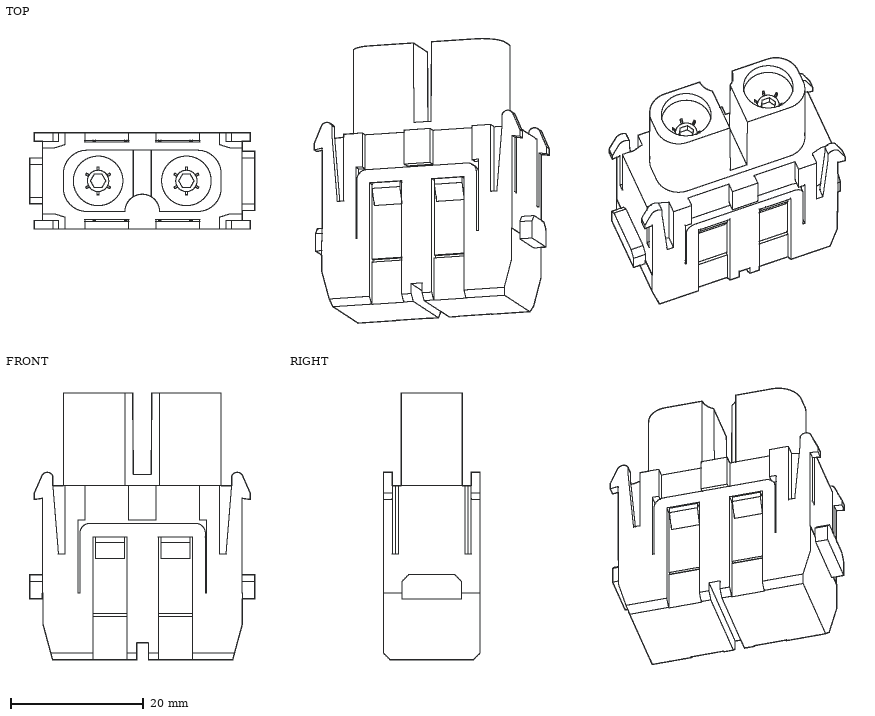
import cadquery as cq
import math

body_length = 30.2
body_width = 14.6
total_height = 40.35
body_height = 26.35
half_length = body_length / 2
half_width = body_width / 2
seam_height = 10.1
lower_shift = 0.06

taper_height = 5.35
bottom_length = 27.28
bottom_chamfer = 1.0
notch_width = 1.75
notch_height = 2.55

recess_length = 19.45
recess_depth = 1.45
recess_step_height = 21.1
upper_recess_length = 17.4
tab_width = 4.1
panel_length = 18.95
panel_height = 20.6
panel_radius = 1.45
panel_thickness = 1.15

window_pitch = 9.9
window_width = 5.12
window_top = 18.55
window_depth = 1.35
window_lower_depth = panel_thickness
window_gap_bottom = 6.55
window_gap_height = 0.5
window_gap_depth = 1.85
wedge_width = 4.4
wedge_bottom = 15.3
wedge_shoulder = 17.7
wedge_face_depth = 0.2
tongue_top = 19.35

latch_thickness = 1.35
pocket_length = 3.43
pocket_floor = 16.0
pocket_depth = 2.3
pocket_inner_depth = 1.8
pocket_flat_length = 1.85
arm_root_width = 2.42
arm_neck_width = 1.57
hook_reach = 1.25
hook_height = 24.2
hook_rise = 0.2
hook_lip = 1.0
arm_shoulder = 27.8
arm_top = 28.35
arm_tip_outer = 0.12
arm_tip_inner = 1.57

peg_reach = 1.955
peg_bottom = 9.2
peg_top = 12.87
peg_chamfer = 1.0
left_peg_width = 7.0
right_peg_width = 9.0

towers_length = 23.9
towers_width = 9.3
tower_radius = 3.6
slot_top_width = 2.85
slot_bottom_width = 2.65
web_top = 28.05
key_radius = 2.62

bore_pitch = 13.35
bore_diameter = 7.5
bore_depth = 1.95
cone_depth = 2.5
cone_end_diameter = 4.2
contact_diameter = 3.23
contact_bevel_depth = 0.6
contact_slit_width = 0.3
contact_slits = 6
hex_sides = 6
hex_across_flats = 2.0
hex_depth = 1.2


def box(x_min, x_max, y_min, y_max, z_min, z_max):
    size = (x_max - x_min, y_max - y_min, z_max - z_min)
    return cq.Workplane("XY").box(*size, centered=False).translate((x_min, y_min, z_min))


def centred_box(width, y_min, y_max, z_min, z_max, x=0.0):
    return box(x - width / 2, x + width / 2, y_min, y_max, z_min, z_max)


def both_sides(front):
    """Combine a front-side shape with its mirror image on the back side."""
    return front.union(front.mirror("XZ"))


def both_ends(left):
    """Combine a left-end shape with its mirror image on the right end."""
    return left.union(left.mirror("YZ"))


def lower_housing():
    outline = [
        (-half_length, seam_height),
        (-half_length, taper_height),
        (-bottom_length / 2, 0),
        (bottom_length / 2, 0),
        (half_length, taper_height),
        (half_length, seam_height),
    ]
    housing = cq.Workplane("XZ").polyline(outline).close().extrude(half_width, both=True)
    housing = housing.faces("<Z").edges("|X").chamfer(bottom_chamfer)
    housing = housing.cut(centred_box(notch_width, -half_width, half_width, 0, notch_height))
    return housing.translate((lower_shift, 0, 0))


def upper_housing():
    housing = centred_box(body_length, -half_width, half_width, seam_height, body_height)
    floor = recess_depth - half_width
    recess = centred_box(recess_length, -half_width, floor, seam_height, recess_step_height)
    upper = centred_box(upper_recess_length, -half_width, floor, recess_step_height, body_height)
    tab = centred_box(tab_width, -half_width, floor, recess_step_height, body_height)
    return housing.cut(both_sides(recess.union(upper).cut(tab)))


def front_panel():
    back = panel_thickness - half_width
    panel = centred_box(panel_length, -half_width, back, seam_height, panel_height)
    panel = panel.edges("|Y and >Z").fillet(panel_radius)
    backing = centred_box(panel_length, back, recess_depth - half_width, seam_height, window_top)
    return panel.union(backing).translate((lower_shift, 0, 0))


def front_window(x):
    gap_top = window_gap_bottom + window_gap_height
    upper_floor = window_depth - half_width
    lower_floor = window_lower_depth - half_width
    gap_floor = window_gap_depth - half_width
    window = centred_box(window_width, -half_width, upper_floor, gap_top, window_top, x)
    window = window.union(centred_box(window_width, -half_width, lower_floor, 0, window_gap_bottom, x))
    return window.union(
        centred_box(window_width, -half_width, gap_floor, window_gap_bottom, gap_top, x)
    )


def front_snap_wedge(x):
    floor = window_depth - half_width
    back = recess_depth - half_width
    face = wedge_face_depth - half_width
    profile = [
        (floor, wedge_bottom),
        (face, wedge_shoulder),
        (face, window_top),
        (panel_thickness - half_width, window_top),
        (panel_thickness - half_width, tongue_top),
        (back, tongue_top),
        (back, wedge_bottom),
    ]
    wedge = cq.Workplane("YZ").polyline(profile).close().extrude(wedge_width / 2, both=True)
    return wedge.translate((x, 0, 0))


def corner_pocket():
    """Clearance around the front-left latch arm."""
    inner_x = pocket_length - half_length
    outline = [
        (-half_length, -half_width),
        (inner_x, -half_width),
        (inner_x, pocket_inner_depth - half_width),
        (pocket_flat_length - half_length, pocket_depth - half_width),
        (-half_length, pocket_depth - half_width),
    ]
    pocket = cq.Workplane("XY").workplane(offset=pocket_floor).polyline(outline).close()
    return pocket.extrude(body_height - pocket_floor)


def latch_arm():
    """Springy front-left arm with an outward hook and a rounded tip."""
    outer = -half_length
    tip_outer = (outer - arm_tip_outer, arm_shoulder)
    tip_inner = (outer + arm_tip_inner, arm_shoulder)
    tip_middle = ((tip_outer[0] + tip_inner[0]) / 2, arm_top)
    arm = (
        cq.Workplane("XZ", origin=(0, latch_thickness - half_width, 0))
        .moveTo(outer, pocket_floor)
        .lineTo(outer, hook_height + hook_rise)
        .lineTo(outer - hook_reach, hook_height)
        .lineTo(outer - hook_reach, hook_height + hook_lip)
        .lineTo(*tip_outer)
        .threePointArc(tip_middle, tip_inner)
        .lineTo(outer + arm_neck_width, body_height)
        .lineTo(outer + arm_root_width, pocket_floor)
        .close()
    )
    return arm.extrude(latch_thickness)


def end_peg(width):
    peg = centred_box(peg_reach, -width / 2, width / 2, peg_bottom, peg_top)
    return peg.edges("|X and >Z").chamfer(peg_chamfer)


def towers():
    block = centred_box(towers_length, -towers_width / 2, towers_width / 2, body_height, total_height)
    block = block.edges("|Z").fillet(tower_radius)
    slot_profile = [
        (-slot_bottom_width / 2, web_top),
        (slot_bottom_width / 2, web_top),
        (slot_top_width / 2, total_height),
        (-slot_top_width / 2, total_height),
    ]
    slot = cq.Workplane("XZ").polyline(slot_profile).close().extrude(towers_width / 2, both=True)
    keyway = (
        cq.Workplane("XY", origin=(0, -towers_width / 2, body_height))
        .circle(key_radius)
        .extrude(total_height - body_height)
    )
    return block.cut(slot).cut(keyway)


def contact_bore(x):
    """Stepped conical bore ending in a slit contact with a hexagon socket."""
    cone_top = total_height - bore_depth
    cone_bottom = cone_top - cone_depth
    contact_face = cone_bottom - contact_bevel_depth
    profile = [
        (0, total_height),
        (bore_diameter / 2, total_height),
        (bore_diameter / 2, cone_top),
        (cone_end_diameter / 2, cone_bottom),
        (contact_diameter / 2, contact_face),
        (0, contact_face),
    ]
    bore = cq.Workplane("XZ").polyline(profile).close().revolve(360, (0, 0), (0, 1))
    hex_corners = hex_across_flats / math.cos(math.pi / hex_sides)
    socket = cq.Workplane("XY").polygon(hex_sides, hex_corners).extrude(hex_depth)
    bore = bore.union(socket.translate((0, 0, contact_face - hex_depth)))
    slit = box(
        contact_diameter / 2,
        cone_end_diameter / 2,
        -contact_slit_width / 2,
        contact_slit_width / 2,
        contact_face,
        cone_bottom,
    )
    for index in range(contact_slits):
        angle = 360 / contact_slits * (index + 0.5)
        bore = bore.union(slit.rotate((0, 0, 0), (0, 0, 1), angle))
    return bore.translate((x, 0, 0))


result = lower_housing().union(upper_housing()).union(both_sides(front_panel()))

for side in (-1, 1):
    window_x = side * window_pitch / 2 + lower_shift
    result = result.cut(both_sides(front_window(window_x)))
    result = result.union(both_sides(front_snap_wedge(window_x)))

result = result.cut(both_sides(both_ends(corner_pocket())))
result = result.union(both_sides(both_ends(latch_arm())))

peg_x = half_length + peg_reach / 2
result = result.union(end_peg(left_peg_width).translate((-peg_x, 0, 0)))
result = result.union(end_peg(right_peg_width).translate((peg_x, 0, 0)))

result = result.union(towers())
for side in (-1, 1):
    result = result.cut(contact_bore(side * bore_pitch / 2))